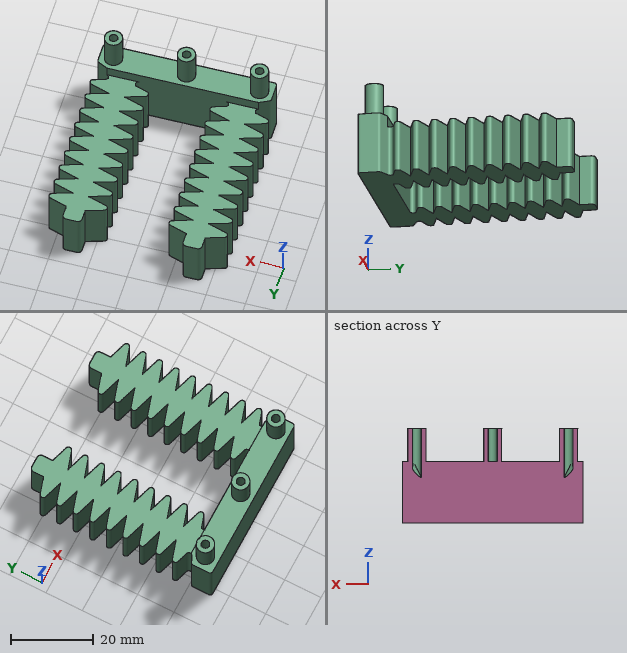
import cadquery as cq
import math

base_half_width = 22.0
base_depth = 6.9
base_height = 15.05
base_corner_radius = 0.8
shoulder_angle = math.radians(26)

pin_diameter = 4.5
bore_diameter = 2.1
pin_top = 23.1
pin_spacing = 18.5
pin_y = 3.5
scoop_radius = 5.25
scoop_turn_degrees = 45

arm_x = 15.2
arm_end_y = 52.3
arm_height = 12.4
fin_count = 9
fin_pitch = 4.55
first_fin_y = 10.0
fin_half_span = 7.4
fin_tip_radius = 0.8
notch_half_width = 2.0
tab_half_width = 2.4
tab_corner_radius = 1.05
neck_radius = 0.75

tip_center_x = fin_half_span - fin_tip_radius
flank_run = tip_center_x - notch_half_width
flank_rise = fin_pitch / 2
flank_angle = math.atan2(flank_rise, flank_run) - math.asin(
    fin_tip_radius / math.hypot(flank_run, flank_rise)
)
tip_tangent_x = tip_center_x + fin_tip_radius * math.sin(flank_angle)
tip_tangent_rise = fin_tip_radius * math.cos(flank_angle)

last_fin_y = first_fin_y + (fin_count - 1) * fin_pitch
tab_inset = tab_half_width - notch_half_width
tab_root_y = last_fin_y + fin_pitch / 2 - tab_inset * math.tan(flank_angle)

neck_center_y = base_depth + neck_radius
first_notch_y = first_fin_y - fin_pitch / 2
neck_flank_y = neck_center_y + neck_radius / math.cos(flank_angle)
neck_center_x = notch_half_width + (neck_flank_y - first_notch_y) / math.tan(flank_angle)
neck_start = (
    neck_center_x - neck_radius * math.sin(flank_angle),
    neck_center_y + neck_radius * math.cos(flank_angle),
)
neck_middle = (neck_center_x - neck_radius, neck_center_y)

shoulder_tangent = (
    neck_center_x - neck_radius * math.sin(shoulder_angle),
    neck_center_y - neck_radius * math.cos(shoulder_angle),
)
shoulder_top_rise = shoulder_tangent[1] - base_depth
shoulder_top_x = shoulder_tangent[0] + shoulder_top_rise / math.tan(shoulder_angle)
shoulder_run = base_half_width - arm_x - shoulder_top_x
shoulder_drop = shoulder_run * math.tan(shoulder_angle)


def make_base():
    """Block with sloped rear shoulders and rounded side corners."""
    shoulder_x = arm_x + shoulder_top_x
    side_end_y = base_depth - shoulder_drop
    outline = [
        (-base_half_width, 0),
        (base_half_width, 0),
        (base_half_width, side_end_y),
        (shoulder_x, base_depth),
        (-shoulder_x, base_depth),
        (-base_half_width, side_end_y),
    ]
    block = cq.Workplane("XY").polyline(outline).close().extrude(base_height)
    side_edges = block.edges("|Z and (<X or >X)")
    return side_edges.fillet(base_corner_radius)


def add_fins(outline, side, fin_order):
    """Run the outline along one side of an arm, out to the tab (+1) or back to the base (-1)."""
    for step, index in enumerate(fin_order):
        fin_y = first_fin_y + index * fin_pitch
        if step > 0:
            outline = outline.lineTo(side * notch_half_width, fin_y - side * fin_pitch / 2)
        outline = outline.lineTo(side * tip_tangent_x, fin_y - side * tip_tangent_rise)
        outline = outline.threePointArc(
            (side * fin_half_span, fin_y),
            (side * tip_tangent_x, fin_y + side * tip_tangent_rise),
        )
    return outline


def make_right_arm():
    """Finned arm on the +X side; outline x is measured from the arm's centre line."""
    outline = cq.Workplane("XY", origin=(arm_x, 0, 0)).moveTo(shoulder_top_x, base_depth)
    outline = outline.lineTo(*shoulder_tangent)
    outline = outline.threePointArc(neck_middle, neck_start)
    outline = add_fins(outline, 1, range(fin_count))

    outline = outline.lineTo(tab_half_width, tab_root_y)
    outline = outline.lineTo(tab_half_width, arm_end_y)
    outline = outline.lineTo(-tab_half_width, arm_end_y)
    outline = outline.lineTo(-tab_half_width, tab_root_y)

    outline = add_fins(outline, -1, reversed(range(fin_count)))
    outline = outline.lineTo(-neck_start[0], neck_start[1])
    outline = outline.threePointArc((-neck_middle[0], neck_center_y), (-neck_center_x, base_depth))

    arm = outline.close().extrude(arm_height)
    return arm.edges("|Z and >Y").fillet(tab_corner_radius)


def make_pin(x):
    """Solid round pin on the base top."""
    pin = cq.Workplane("XY", origin=(x, pin_y, base_height))
    return pin.circle(pin_diameter / 2).extrude(pin_top - base_height)


def make_straight_bore(bottom_z):
    """Vertical bore at X = 0, open at the pin top and ending at the given level."""
    bore = cq.Workplane("XY", origin=(0, pin_y, bottom_z))
    return bore.circle(bore_diameter / 2).extrude(pin_top - bottom_z)


def make_right_scooped_bore():
    """Bore in the right pin; its floor is part of a horizontal cylinder that falls toward the arm."""
    scoop_offset = scoop_radius - bore_diameter / 2
    scoop = (
        cq.Workplane("XZ", origin=(-scoop_offset, pin_y, base_height))
        .circle(scoop_radius)
        .extrude(bore_diameter / 2, both=True)
        .rotate((0, pin_y, 0), (0, pin_y, 1), -scoop_turn_degrees)
    )
    floor_pocket = make_straight_bore(base_height - scoop_radius).intersect(scoop)
    return make_straight_bore(base_height).union(floor_pocket).translate((pin_spacing, 0, 0))


right_arm = make_right_arm()
result = make_base().union(right_arm).union(right_arm.mirror("YZ"))
for pin_x in (-pin_spacing, 0, pin_spacing):
    result = result.union(make_pin(pin_x))

right_bore = make_right_scooped_bore()
result = result.cut(make_straight_bore(base_height))
result = result.cut(right_bore).cut(right_bore.mirror("YZ"))